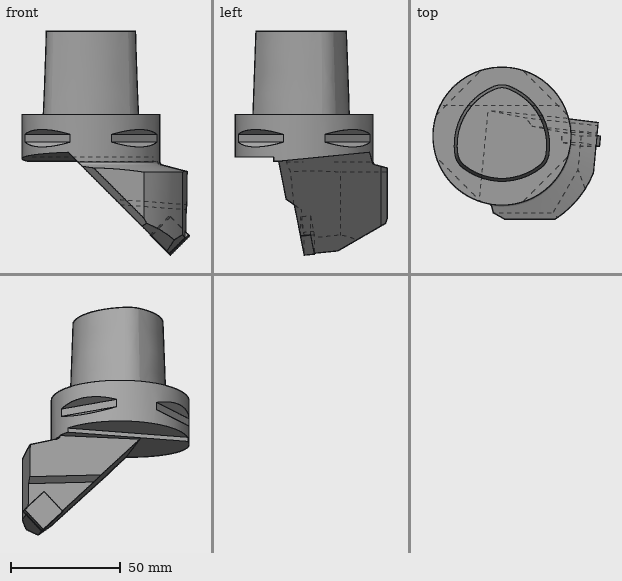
import cadquery as cq
import math


shank_height = 38.1
shank_taper = 2.05
lobe_reach = 23.4
side_reach = 20.7
lobe_radius = 9.6

flange_radius = 63.0 / 2
flange_bottom = -21.4
flange_step_y = 13.9
flange_step_depth = 1.9
undercut_bottom = -20.2
undercut_slope = math.tan(math.radians(5.6))

groove_middle = -10.8
groove_floor_radius = 27.9
groove_floor_width = 3.5
groove_mouth_width = 8.0

arm_radius = 45.0
arm_bottom = -64.5
arm_front_y = -38.0
cone_angle = math.radians(15)
cone_outer_z = -26.3
neck_fillet = 1.2
lean_offset = -27.6
bevel_rise = 4.5
bevel_width_y = 3.0
end_offset = 100.0
recess_depth = 3.2
recess_top_z = -38.8
recess_top_y = 8.2
recess_slope = math.radians(34)
belly_y = -35.0
belly_z = -50.9
belly_angle = math.radians(30)
outer_flat_x = 43.4
outer_flat_angle = math.radians(5.3)

insert_side = 12.5
insert_thickness = 4.7
insert_tip_x = 36.2
insert_tip_z = -64.2
rake_angle = math.radians(8)

BIG = 204.6

lean = math.sqrt(0.5)
rake_normal = cq.Vector(lean * math.sin(rake_angle), math.cos(rake_angle), -lean * math.sin(rake_angle))
across = cq.Vector(lean, 0, lean)
along = rake_normal.cross(across)
insert_tip = cq.Vector(insert_tip_x, 0, insert_tip_z)


def beyond(point, normal):
    """Block filling the space on the normal's side of a plane."""
    plane = cq.Plane(origin=point, normal=normal)
    return cq.Workplane(plane).rect(BIG, BIG).extrude(BIG)


def polar(radius, degrees):
    angle = math.radians(degrees)
    return (radius * math.cos(angle), radius * math.sin(angle))


def make_shank():
    lobe_centre = lobe_reach - lobe_radius
    gap = side_reach - lobe_radius
    side_centre = (lobe_centre**2 - gap**2) / (2 * gap - lobe_centre)
    side_radius = side_reach + side_centre
    half_width = side_radius * lobe_centre * math.cos(math.pi / 6) / (side_radius - lobe_radius)
    join_y = side_centre - math.sqrt(side_radius**2 - half_width**2)
    join_radius = math.hypot(half_width, join_y)
    join_angle = math.degrees(math.atan2(half_width, -join_y))

    outline = cq.Workplane("XY").moveTo(*polar(join_radius, -90 - join_angle))
    for side_angle in (-90, 30, 150):
        side_end = polar(join_radius, side_angle + join_angle)
        lobe_end = polar(join_radius, side_angle + 120 - join_angle)
        outline = outline.threePointArc(polar(side_reach, side_angle), side_end)
        outline = outline.threePointArc(polar(lobe_reach, side_angle + 60), lobe_end)
    return outline.close().extrude(shank_height, taper=shank_taper)


def make_groove_cutter(angle):
    slope = (groove_mouth_width - groove_floor_width) / 2 / (flange_radius - groove_floor_radius)
    outer = flange_radius + 1.0
    outer_half = groove_floor_width / 2 + slope * (outer - groove_floor_radius)
    floor_half = groove_floor_width / 2
    return (
        cq.Workplane("XZ")
        .polyline([
            (groove_floor_radius, groove_middle - floor_half),
            (outer, groove_middle - outer_half),
            (outer, groove_middle + outer_half),
            (groove_floor_radius, groove_middle + floor_half),
        ])
        .close()
        .extrude(flange_radius, both=True)
        .rotate((0, 0, 0), (0, 0, 1), angle)
    )


def make_flange():
    flange = cq.Workplane("XY").circle(flange_radius).extrude(flange_bottom)
    step = (
        cq.Workplane("XY", origin=(0, flange_step_y, flange_bottom))
        .rect(BIG, BIG)
        .extrude(flange_step_depth)
        .translate((0, BIG / 2, 0))
    )
    undercut = beyond((0, 0, undercut_bottom), (0, -undercut_slope, -1))
    undercut = undercut.intersect(beyond((lean_offset, 0, 0), (-1, 0, -1)))
    flange = flange.cut(step).cut(undercut)
    for angle in (45, 135, 225, 315):
        flange = flange.cut(make_groove_cutter(angle))
    return flange


def make_arm():
    corner_z = cone_outer_z + (arm_radius - flange_radius) * math.tan(cone_angle)
    tangent = neck_fillet * math.tan(math.pi / 4 - cone_angle / 2)
    fillet_end = (flange_radius + tangent * math.cos(cone_angle), corner_z - tangent * math.sin(cone_angle))
    arm = (
        cq.Workplane("XZ")
        .moveTo(0, flange_bottom)
        .lineTo(flange_radius, flange_bottom)
        .lineTo(flange_radius, corner_z + tangent)
        .tangentArcPoint(fillet_end, relative=False)
        .lineTo(arm_radius, cone_outer_z)
        .lineTo(arm_radius, arm_bottom)
        .lineTo(0, arm_bottom)
        .close()
        .revolve(360, (0, 0, 0), (0, 1, 0))
    )

    arm = arm.cut(beyond((lean_offset, 0, 0), (-1, 0, -1)))
    arm = arm.cut(beyond((0, arm_front_y, 0), (0, -1, 0)))
    bevel_start = (lean_offset, arm_front_y + bevel_width_y, 0)
    arm = arm.cut(beyond(bevel_start, (-bevel_width_y, -bevel_rise, -bevel_width_y)))

    arm = arm.cut(beyond(insert_tip + rake_normal * recess_depth, rake_normal))
    recess = beyond(insert_tip, rake_normal)
    recess_normal = (0, math.sin(recess_slope), -math.cos(recess_slope))
    arm = arm.cut(recess.intersect(beyond((0, recess_top_y, recess_top_z), recess_normal)))

    arm = arm.cut(beyond((0, belly_y, belly_z), (0, -math.sin(belly_angle), -math.cos(belly_angle))))
    arm = arm.cut(beyond((end_offset, 0, 0), along))
    return arm.cut(beyond((outer_flat_x, 0, 0), (math.cos(outer_flat_angle), -math.sin(outer_flat_angle), 0)))


def make_insert():
    rake_plane = cq.Plane(origin=insert_tip, xDir=across, normal=rake_normal)
    return (
        cq.Workplane(rake_plane)
        .center(insert_side / 2, -insert_side / 2)
        .rect(insert_side, insert_side)
        .extrude(-insert_thickness)
    )


insert = make_insert()
holder = make_flange().union(make_shank()).union(make_arm()).cut(insert)

result = cq.Compound.makeCompound([holder.val(), insert.val()])